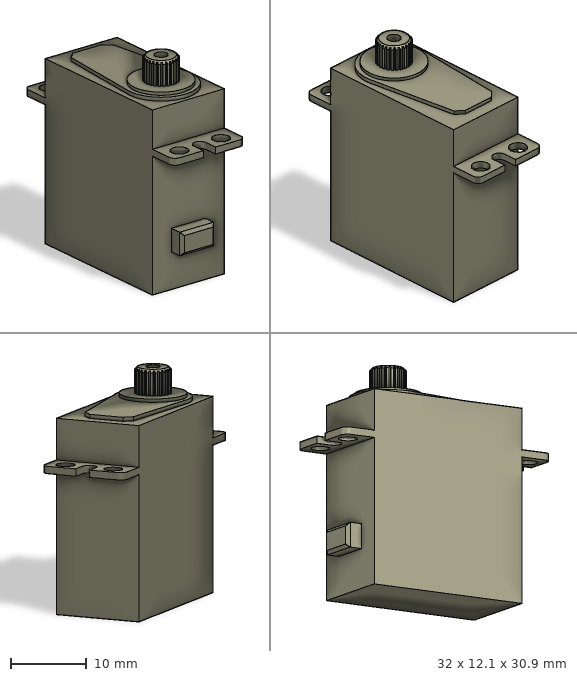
import cadquery as cq
import math

case_length = 22.9
case_width = 12.05
case_height = 26.4

flange_length = 32.0
flange_bottom = 19.8
flange_thickness = 1.0
flange_corner_radius = 1.0
flange_hole_diameter = 2.5
flange_hole_x = 14.0
flange_hole_y = 3.5
flange_slot_width = 2.0

output_x = 5.63
lid_thickness = 0.55
lid_radius = 5.2
lid_end_x = -9.63
lid_corner_x = -8.65
lid_end_back_y = 2.0
lid_end_front_y = -2.85
lid_corner_back_y = 3.17
lid_corner_front_y = -3.95

boss_diameter = 9.0
boss_thickness = 0.45
boss_top = case_height + lid_thickness + boss_thickness

shaft_diameter = 4.93
shaft_height = 3.52
shaft_chamfer = 0.4
shaft_bore_diameter = 1.9
tooth_count = 25
groove_depth = 0.22
groove_width = 0.32
groove_floor_width = 0.15

grommet_length = 2.2
grommet_width = 5.7
grommet_height = 3.35
grommet_bottom = 5.38
grommet_chamfer = 0.45


def tangent_point(corner_x, corner_y, side):
    """Point where a line from a lid corner touches the round end; side is +1 (back) or -1 (front)."""
    offset_x = corner_x - output_x
    direction = math.atan2(corner_y, offset_x)
    half_angle = math.acos(lid_radius / math.hypot(offset_x, corner_y))
    angle = direction - side * half_angle
    return output_x + lid_radius * math.cos(angle), lid_radius * math.sin(angle)


def make_flange():
    plate = (
        cq.Workplane("XY", origin=(0, 0, flange_bottom))
        .rect(flange_length, case_width)
        .extrude(flange_thickness)
        .edges("|Z")
        .fillet(flange_corner_radius)
    )
    holes = (
        cq.Workplane("XY", origin=(0, 0, flange_bottom))
        .rect(2 * flange_hole_x, 2 * flange_hole_y, forConstruction=True)
        .vertices()
        .circle(flange_hole_diameter / 2)
        .extrude(flange_thickness)
    )
    slot_length = flange_length - 2 * flange_hole_x + flange_slot_width
    slots = (
        cq.Workplane("XY", origin=(0, 0, flange_bottom))
        .pushPoints([(-flange_length / 2, 0), (flange_length / 2, 0)])
        .slot2D(slot_length, flange_slot_width)
        .extrude(flange_thickness)
    )
    return plate.cut(holes).cut(slots)


def make_lid():
    back_tangent = tangent_point(lid_corner_x, lid_corner_back_y, 1)
    front_tangent = tangent_point(lid_corner_x, lid_corner_front_y, -1)
    return (
        cq.Workplane("XY", origin=(0, 0, case_height))
        .moveTo(lid_end_x, lid_end_front_y)
        .lineTo(lid_end_x, lid_end_back_y)
        .lineTo(lid_corner_x, lid_corner_back_y)
        .lineTo(*back_tangent)
        .threePointArc((output_x + lid_radius, 0), front_tangent)
        .lineTo(lid_corner_x, lid_corner_front_y)
        .close()
        .extrude(lid_thickness)
    )


def make_boss():
    return (
        cq.Workplane("XY", origin=(output_x, 0, case_height + lid_thickness))
        .circle(boss_diameter / 2)
        .extrude(boss_thickness)
    )


def make_case():
    block = cq.Workplane("XY").rect(case_length, case_width).extrude(case_height)
    return block.union(make_flange()).union(make_lid()).union(make_boss())


def make_groove():
    """Cutter on the +X side of the shaft, narrowing inward; its sides run on past the shaft surface."""
    shaft_radius = shaft_diameter / 2
    bottom_x = shaft_radius - groove_depth
    outer_x = shaft_radius + groove_depth
    half_floor = groove_floor_width / 2
    half_outer = groove_width - half_floor
    return (
        cq.Workplane("XY", origin=(output_x, 0, boss_top))
        .moveTo(bottom_x, -half_floor)
        .lineTo(outer_x, -half_outer)
        .lineTo(outer_x, half_outer)
        .lineTo(bottom_x, half_floor)
        .close()
        .extrude(shaft_height)
    )


def make_output_shaft():
    shaft = (
        cq.Workplane("XY", origin=(output_x, 0, boss_top))
        .circle(shaft_diameter / 2)
        .extrude(shaft_height)
        .faces(">Z")
        .chamfer(shaft_chamfer)
    )
    bore = (
        cq.Workplane("XY", origin=(output_x, 0, boss_top))
        .circle(shaft_bore_diameter / 2)
        .extrude(shaft_height)
    )
    shaft = shaft.cut(bore)
    tooth_pitch = 360 / tooth_count
    groove = make_groove()
    for index in range(tooth_count):
        angle = (index + 0.5) * tooth_pitch
        shaft = shaft.cut(groove.rotate((output_x, 0, 0), (output_x, 0, 1), angle))
    return shaft


def make_grommet():
    return (
        cq.Workplane("YZ", origin=(case_length / 2, 0, grommet_bottom + grommet_height / 2))
        .rect(grommet_width, grommet_height)
        .extrude(grommet_length)
        .faces(">X")
        .chamfer(grommet_chamfer)
    )


case = make_case()
output_shaft = make_output_shaft()
grommet = make_grommet()

bodies = [case, output_shaft, grommet]
result = cq.Compound.makeCompound([body.solids().val() for body in bodies])